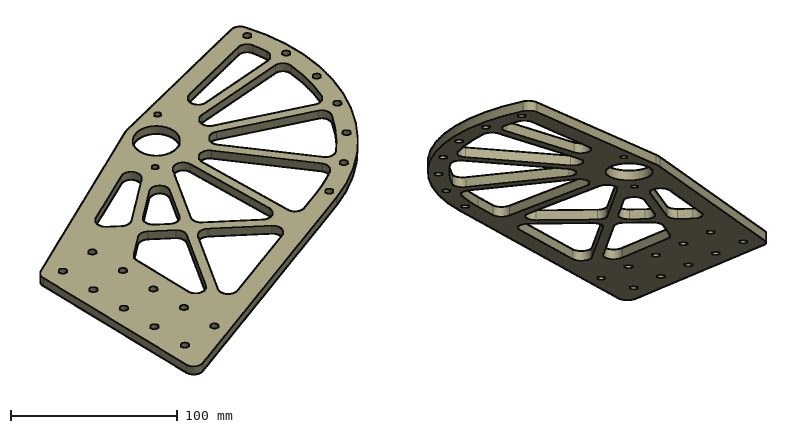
import cadquery as cq
import math

thickness = 6.3
rim_radius = 120.8
plate_height = 262.0
bottom_y = rim_radius - plate_height
hub_hole_diameter = 28.3
corner_radius = 6.3
hub_wall = 6.3
hub_edge_radius = hub_hole_diameter / 2 + hub_wall

right_side_angle = 17.1
upper_left_angle = 190.9
lower_left_angle = 203.1

rim_hole_diameter = 5.0
rim_hole_circle_radius = 114.2
rim_hole_count = 7
rim_hole_first_angle = 19.1
rim_hole_step = 14.4

frame_width = 12.8
strut_width = 6.3
pocket_radius = 6.3
pocket_rim_radius = rim_radius - frame_width
last_spoke_angle = 2.4
fan_spoke_angles = [rim_hole_first_angle + i * rim_hole_step for i in (5, 3, 1)] + [last_spoke_angle]
long_brace_angle = -32.6
short_brace_angle = -54.8
cross_strut_angle = 48.2
cross_strut_point = (76.7, -38.2)

hub_screw_diameter = 4.2
hub_screw_circle_radius = 25.1
hub_screw_angle = 132.4
mount_hole_diameter = 5.0
mount_pitch = 25.5
mount_columns = 5
mount_rows = 2
mount_first_x = 46.0
mount_first_y = bottom_y + frame_width


def polar(radius, angle):
    """Point at a distance and direction (degrees) from the hub centre."""
    return (radius * math.cos(math.radians(angle)), radius * math.sin(math.radians(angle)))


def strut_edge(angle, side, through=(0, 0)):
    """Edge of a strut; side is +1 for its left edge along its direction, -1 for its right."""
    normal = angle + 90
    nx, ny = polar(1, normal)
    return (normal, through[0] * nx + through[1] * ny + side * strut_width / 2)


def meet(line_a, line_b):
    """Crossing point of two lines."""
    (ax, ay), (bx, by) = polar(1, line_a[0]), polar(1, line_b[0])
    da, db = line_a[1], line_b[1]
    det = ax * by - ay * bx
    return ((da * by - db * ay) / det, (ax * db - bx * da) / det)


def meet_circle(line, radius):
    """Crossing of a line with a circle about the hub, on the side 90 degrees behind the normal."""
    normal, distance = line
    return polar(radius, normal - math.degrees(math.acos(distance / radius)))


def round_corners(solid, corners, radius):
    """Fillet the upright edges standing at the given corners."""
    for x, y in corners:
        solid = solid.edges(cq.NearestToPointSelector((x, y, thickness / 2))).fillet(radius)
    return solid


def straight_pocket(lines):
    """Pocket bounded by straight sides, given in order around it."""
    corners = [meet(line, lines[i - 1]) for i, line in enumerate(lines)]
    solid = cq.Workplane("XY").polyline(corners).close().extrude(thickness)
    return round_corners(solid, corners, pocket_radius)


def fan_pocket(left_line, right_line, left_end, right_end, arc_end_angle):
    """Pocket between two lines that meet near the hub, closed by the inner edge of the rim.
    The rim arc stops at arc_end_angle and runs straight to right_end if that lies further on."""
    apex = meet(left_line, right_line)
    arc_end = polar(pocket_rim_radius, arc_end_angle)
    left_angle = math.degrees(math.atan2(left_end[1], left_end[0]))
    middle = polar(pocket_rim_radius, (left_angle + arc_end_angle) / 2)
    outline = cq.Workplane("XY").moveTo(*apex).lineTo(*right_end)
    if math.dist(arc_end, right_end) > pocket_radius:
        outline = outline.lineTo(*arc_end)
    solid = outline.threePointArc(middle, left_end).close().extrude(thickness)
    return round_corners(solid, [apex, left_end, right_end], pocket_radius)


def hole_cutter(points, diameter):
    return cq.Workplane("XY").pushPoints(points).circle(diameter / 2).extrude(thickness)


bottom_side = (-90, -bottom_y)
right_side = (right_side_angle, rim_radius)
upper_left_side = (upper_left_angle, hub_edge_radius)
lower_left_side = (lower_left_angle, hub_edge_radius)

top_left = meet_circle(upper_left_side, rim_radius)
bottom_left = meet(lower_left_side, bottom_side)
bottom_right = meet(right_side, bottom_side)

plate = (
    cq.Workplane("XY")
    .moveTo(*bottom_right)
    .lineTo(*polar(rim_radius, right_side_angle))
    .threePointArc((0, rim_radius), top_left)
    .lineTo(*polar(hub_edge_radius, upper_left_angle))
    .threePointArc(
        polar(hub_edge_radius, (upper_left_angle + lower_left_angle) / 2),
        polar(hub_edge_radius, lower_left_angle),
    )
    .lineTo(*bottom_left)
    .close()
    .extrude(thickness)
)
plate = round_corners(plate, [top_left, bottom_left, bottom_right], corner_radius)

right_inner = (right_side_angle, pocket_rim_radius)
upper_left_inner = (upper_left_angle, hub_edge_radius - frame_width)
lower_left_inner = (lower_left_angle, hub_edge_radius - frame_width)
bottom_inner = (-90, -(mount_first_y + (mount_rows - 1) * mount_pitch + frame_width))

long_brace_left = strut_edge(long_brace_angle, 1)
long_brace_right = strut_edge(long_brace_angle, -1)
short_brace_left = strut_edge(short_brace_angle, 1)
short_brace_right = strut_edge(short_brace_angle, -1)
cross_left = strut_edge(cross_strut_angle, 1, cross_strut_point)
cross_right = strut_edge(cross_strut_angle, -1, cross_strut_point)
last_spoke_right = strut_edge(last_spoke_angle, -1)

pockets = []
left_line = upper_left_inner
left_end = meet_circle(upper_left_inner, pocket_rim_radius)
for spoke_angle in fan_spoke_angles:
    right_line = strut_edge(spoke_angle, 1)
    if spoke_angle > right_side_angle:
        right_end = meet_circle(right_line, pocket_rim_radius)
        arc_end_angle = math.degrees(math.atan2(right_end[1], right_end[0]))
    else:
        right_end = meet(right_line, right_inner)
        arc_end_angle = right_side_angle
    pockets.append(fan_pocket(left_line, right_line, left_end, right_end, arc_end_angle))
    left_line = strut_edge(spoke_angle, -1)
    left_end = polar(
        pocket_rim_radius,
        spoke_angle - math.degrees(math.asin(strut_width / 2 / pocket_rim_radius)),
    )

pockets.append(straight_pocket([last_spoke_right, cross_left, long_brace_left]))
pockets.append(straight_pocket([right_inner, long_brace_left, cross_right]))
pockets.append(straight_pocket([long_brace_right, cross_left, short_brace_left]))
pockets.append(straight_pocket([short_brace_right, cross_left, lower_left_inner]))
pockets.append(straight_pocket([long_brace_right, bottom_inner, short_brace_left, cross_right]))

for pocket in pockets:
    plate = plate.cut(pocket)

rim_points = [
    polar(rim_hole_circle_radius, rim_hole_first_angle + i * rim_hole_step) for i in range(rim_hole_count)
]
hub_screw_points = [polar(hub_screw_circle_radius, hub_screw_angle + turn) for turn in (0, 180)]
mount_points = [
    (mount_first_x + column * mount_pitch, mount_first_y + row * mount_pitch)
    for column in range(mount_columns)
    for row in range(mount_rows)
]

result = (
    plate.cut(hole_cutter([(0, 0)], hub_hole_diameter))
    .cut(hole_cutter(rim_points, rim_hole_diameter))
    .cut(hole_cutter(hub_screw_points, hub_screw_diameter))
    .cut(hole_cutter(mount_points, mount_hole_diameter))
)